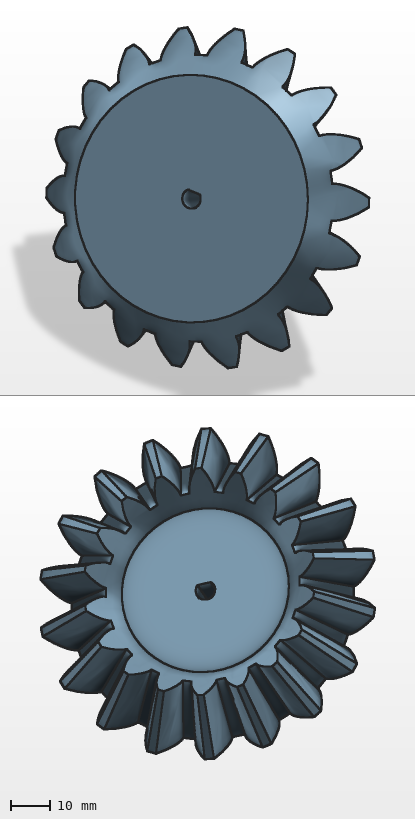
import math

import cadquery as cq

MODULE = 4.5
TEETH = 18
PRESSURE_ANGLE = math.radians(25)
PITCH_CONE_ANGLE = math.radians(45)
FACE_WIDTH = 18.0
DEDENDUM = 1.25 * MODULE
TOP_FACE_RADIUS = 31.5
BORE_RADIUS = 2.5
BORE_FLAT_OFFSET = 1.8
AXIS_TILT = 45.0
TURN_ABOUT_Z = 1.8
FLANK_POINTS = 7

PITCH_RADIUS = MODULE * TEETH / 2
CONE_DISTANCE = PITCH_RADIUS / math.sin(PITCH_CONE_ANGLE)
BACK_CONE_APEX_Z = CONE_DISTANCE / math.cos(PITCH_CONE_ANGLE)
BACK_CONE_SLOPE = math.tan(PITCH_CONE_ANGLE)
INNER_SCALE = 1 - FACE_WIDTH / CONE_DISTANCE

VIRTUAL_RADIUS = CONE_DISTANCE * math.tan(PITCH_CONE_ANGLE)
BASE_RADIUS = VIRTUAL_RADIUS * math.cos(PRESSURE_ANGLE)
TIP_RADIUS = VIRTUAL_RADIUS + MODULE
ROOT_RADIUS = VIRTUAL_RADIUS - DEDENDUM


def back_cone_height(radius):
    """Height of the back cone at a given distance from the gear axis."""
    return BACK_CONE_APEX_Z - radius * BACK_CONE_SLOPE


def axis_distance(unrolled_radius):
    """Distance from the gear axis of a point on the unrolled back cone."""
    return unrolled_radius * math.cos(PITCH_CONE_ANGLE)


def half_tooth_angle(unrolled_radius):
    """Half the tooth thickness, as an angle about the gear axis, on an involute flank.

    Below the base circle the flank is radial.
    """
    pressure = math.acos(min(1, BASE_RADIUS / unrolled_radius))
    pitch_involute = math.tan(PRESSURE_ANGLE) - PRESSURE_ANGLE
    involute = math.tan(pressure) - pressure
    thickness_at_pitch = MODULE * math.pi / (4 * VIRTUAL_RADIUS)
    return (thickness_at_pitch + pitch_involute - involute) / math.cos(PITCH_CONE_ANGLE)


def section_point(unrolled_radius, angle, height):
    """Project a back-cone point through the apex onto the plane at a given height."""
    radius = axis_distance(unrolled_radius)
    reach = radius * height / back_cone_height(radius)
    return (reach * math.cos(angle), reach * math.sin(angle))


def toothed_section(height):
    """Closed outline of all teeth in the plane at a given height above the apex."""
    pitch_angle = 2 * math.pi / TEETH
    flank_step = (TIP_RADIUS - ROOT_RADIUS) / (FLANK_POINTS - 1)
    flank = [ROOT_RADIUS + flank_step * i for i in range(FLANK_POINTS)]
    root_half = half_tooth_angle(ROOT_RADIUS)
    outline = cq.Workplane("XY", origin=(0, 0, height))
    outline = outline.moveTo(*section_point(ROOT_RADIUS, -root_half, height))
    for tooth in range(TEETH):
        center = tooth * pitch_angle
        rising = [section_point(r, center - half_tooth_angle(r), height) for r in flank]
        falling = [section_point(r, center + half_tooth_angle(r), height) for r in reversed(flank)]
        next_root = center + pitch_angle - root_half
        outline = outline.spline(rising[1:], includeCurrent=True)
        outline = outline.threePointArc(section_point(TIP_RADIUS, center, height), falling[0])
        outline = outline.spline(falling[1:], includeCurrent=True)
        outline = outline.threePointArc(
            section_point(ROOT_RADIUS, center + pitch_angle / 2, height),
            section_point(ROOT_RADIUS, next_root, height),
        )
    return outline.wire().val()


def toothed_cone():
    """Toothed body whose every surface line runs to the apex, long enough to hold the blank."""
    inner_tip_z = INNER_SCALE * back_cone_height(axis_distance(TIP_RADIUS))
    low_z = inner_tip_z / 2
    high_z = back_cone_height(TOP_FACE_RADIUS)
    solid = cq.Solid.makeLoft([toothed_section(low_z), toothed_section(high_z)], True)
    return cq.Workplane(solid)


def blank():
    """Turned blank whose underside is the upper side shrunk towards the apex."""
    clear_radius = axis_distance(TIP_RADIUS) + MODULE
    top_z = back_cone_height(TOP_FACE_RADIUS)
    floor_z = INNER_SCALE * top_z
    floor_radius = INNER_SCALE * TOP_FACE_RADIUS
    inner_rim_z = INNER_SCALE * BACK_CONE_APEX_Z - clear_radius * BACK_CONE_SLOPE
    profile = [
        (0, floor_z),
        (floor_radius, floor_z),
        (clear_radius, inner_rim_z),
        (clear_radius, back_cone_height(clear_radius)),
        (TOP_FACE_RADIUS, top_z),
        (0, top_z),
    ]
    return cq.Workplane("XZ").polyline(profile).close().revolve(360, (0, 0), (0, 1))


def bore():
    """D-shaped through bore with its flat on the +Y side."""
    flat_half_width = math.sqrt(BORE_RADIUS**2 - BORE_FLAT_OFFSET**2)
    outline = cq.Workplane("XY").moveTo(flat_half_width, BORE_FLAT_OFFSET)
    outline = outline.lineTo(-flat_half_width, BORE_FLAT_OFFSET)
    outline = outline.threePointArc((0, -BORE_RADIUS), (flat_half_width, BORE_FLAT_OFFSET))
    return outline.close().extrude(BACK_CONE_APEX_Z)


gear = blank().intersect(toothed_cone()).cut(bore())
leaning_gear = gear.rotate((0, 0, 0), (1, 0, 0), AXIS_TILT)
result = leaning_gear.rotate((0, 0, 0), (0, 0, 1), TURN_ABOUT_Z)